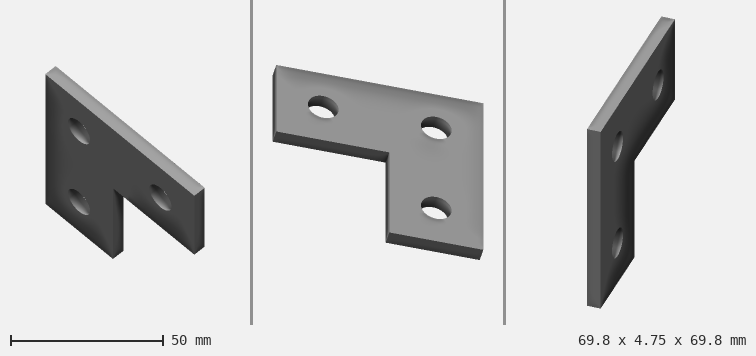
import cadquery as cq

side = 69.85
thickness = 4.75
leg_width = 31.7
hole_diameter = 10.35

hole_inset = leg_width / 2
hole_pitch = side - leg_width


def l_plate():
    """L-shaped plate in the XZ plane, from Y = 0 to Y = thickness, corner at top left."""
    outline = [
        (0, 0),
        (leg_width, 0),
        (leg_width, side - leg_width),
        (side, side - leg_width),
        (side, side),
        (0, side),
    ]
    return cq.Workplane("XZ").polyline(outline).close().extrude(-thickness)


def bolt_holes():
    """Through-hole cutters at the corner and near the end of each leg."""
    corner_x = hole_inset
    corner_z = side - hole_inset
    centres = [
        (corner_x, corner_z),
        (corner_x + hole_pitch, corner_z),
        (corner_x, corner_z - hole_pitch),
    ]
    return cq.Workplane("XZ").pushPoints(centres).circle(hole_diameter / 2).extrude(-thickness)


result = l_plate().cut(bolt_holes())